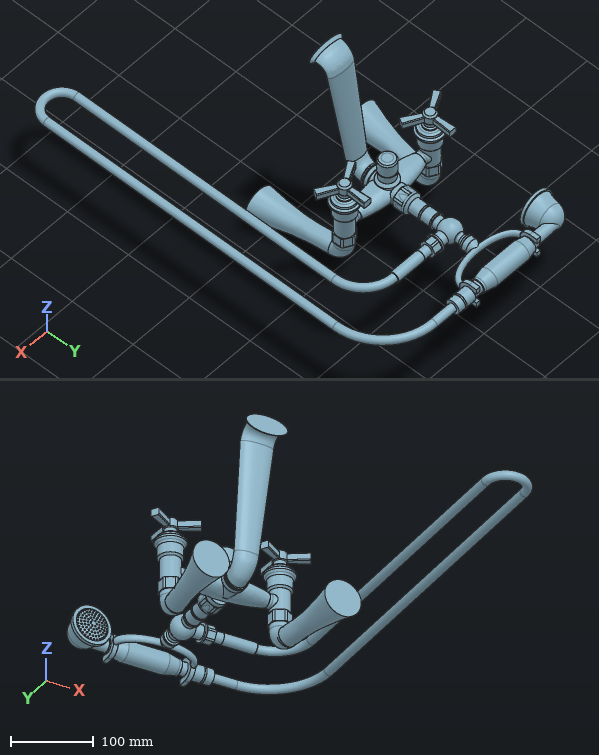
import cadquery as cq
import math

X_AXIS = (1, 0, 0)
Y_AXIS = (0, 1, 0)
Z_AXIS = (0, 0, 1)


valve_offset = 76.2
handset_y = 187.1
outlet_y = 103.2

hose_radius = 6.5
hose_overlap = 2.0
hose_end_x = 203.8
hose_start_x = 150.3
handset_bend_radius = 83.0
outlet_bend_radius = 50.5
hose_lowest_y = -404.4

head_x = -97.5
head_flange_radius = 27.0
head_flange_top = 157.5
head_flange_bottom = 152.7
face_radius = 22.0
face_bulge = 4.0
nozzle_radius = 0.9
nozzle_depth = 2.0
nozzle_pitch = 4.1
nozzle_rings = 5
nozzles_per_ring_step = 6
bell_top_y = 195.5
bell_shoulder = (20.0, 177.8)
bell_dome_mid = (13.5, 189.5)
bell_skirt_mid = (21.8, 167.0)
bell_skirt_radius = 24.8
handle_start_x = -34.9
handle_end_x = 22.0
handle_radius = 14.5
hose_nut_end_x = 86.5

fork_x = 53.8
fork_thickness = 6.5
fork_inner_radius = 8.5
fork_outer_radius = 16.5
fork_tip_y = 199.0
cradle_depth = 25.0
cradle_top_y = 172.0
cradle_wire_half_sizes = (4.3, 5.5)

ball_radius = 16.5
riser_nut_start = 22.5
riser_nut_length = 14.5
riser_nut_flats = 29.5
riser_nut_corner_radius = 16.0
outlet_nut_start = 27.7
outlet_nut_length = 12.7
outlet_nut_flats = 22.5
outlet_nut_corner_radius = 12.2

bar_mid_x = 19.0
bar_end_x = 57.0
bar_mid_half_sizes = (19.0, 13.6)
bar_end_half_sizes = (11.0, 9.5)
bar_flare_start_x = 61.0
bar_flare_radius = 11.5
boss_radius = 14.5
post_radius = 13.0
post_top_z = 54.0
post_neck_radius = 12.0
post_neck_top_z = 31.0
post_crown_z = 50.5
post_crown_mid = (53.0, 11.3)
post_flat_radius = 7.5
post_base_radius = 16.0
post_base_top_z = 15.0

column_radius = 13.4
column_nut_bottom = -31.0
column_nut_length = 16.0
column_nut_flats = 28.0
column_nut_corner_radius = 15.2
lever_bottom_z = 60.0
lever_height = 10.5
lever_length = 37.5
lever_root_half_width = 4.0
lever_tip_half_width = 6.0
lever_chamfer = 1.2
lever_angles = (90, 210, 330)

elbow_top_z = -38.0
leg_z = -53.0
leg_end_y = -126.0
leg_end_offset = 91.8
leg_stations = ((-13.0, 13.4), (-45.0, 13.6), (-75.0, 15.9), (-100.0, 20.0), (leg_end_y, 25.4))

spout_start_y = -26.8
spout_collar_end = 29.0
spout_radius = 14.5
spout_lean = 10.3
spout_lower_bend = 25.0
spout_upper_bend = 20.0
spout_outlet_z = 177.5
spout_outlet_y = -102.0
spout_root_half_sizes = (16.7, 9.8)
spout_tip_half_sizes = (23.2, 7.8)
spout_neck_half_sizes = (24.2, 8.4)
spout_outlet_half_sizes = (29.2, 12.7)
spout_lip = 1.0


def axis_plane(origin, direction):
    """Plane whose local y runs along the direction and local x is radial."""
    axis = cq.Vector(*direction)
    radial = cq.Vector(*Z_AXIS) if direction != Z_AXIS else cq.Vector(*X_AXIS)
    return cq.Plane(origin=origin, xDir=radial.toTuple(), normal=radial.cross(axis).toTuple())


def turned(origin, direction, outline):
    """Solid of revolution from (distance along the axis, radius) points."""
    points = [(radius, along) for along, radius in outline]
    closed = [(0, outline[0][0])] + points + [(0, outline[-1][0])]
    return cq.Workplane(axis_plane(origin, direction)).polyline(closed).close().revolve(360, (0, 0), (0, 1))


def hex_nut(origin, direction, flat_normal, length, flats, corner_radius):
    """Hexagon nut with rounded corners; one flat faces along flat_normal."""
    corner_direction = cq.Vector(*direction).cross(cq.Vector(*flat_normal)).toTuple()
    base = cq.Workplane(cq.Plane(origin=origin, xDir=corner_direction, normal=direction))
    hexagon = base.polygon(6, flats / math.cos(math.radians(30))).extrude(length)
    return hexagon.intersect(base.circle(corner_radius).extrude(length))


def ellipse_wire(origin, normal, half_sizes, x_dir=X_AXIS):
    plane = cq.Plane(origin=origin, xDir=x_dir, normal=normal)
    return cq.Workplane(plane).ellipse(*half_sizes).val()


def loft(wires, ruled=False):
    return cq.Workplane(obj=cq.Solid.makeLoft(wires, ruled))


def hose():
    """Hose from the handset, down a long loop and back to the outlet."""
    loop_radius = (hose_end_x - hose_start_x) / 2
    loop_y = hose_lowest_y + hose_radius + loop_radius
    handset_bend_x = hose_end_x - handset_bend_radius
    outlet_bend_x = hose_start_x - outlet_bend_radius
    path = (
        cq.Workplane("XY")
        .moveTo(hose_nut_end_x - hose_overlap, handset_y)
        .lineTo(handset_bend_x, handset_y)
        .tangentArcPoint((hose_end_x, handset_y - handset_bend_radius), relative=False)
        .lineTo(hose_end_x, loop_y)
        .tangentArcPoint((hose_start_x, loop_y), relative=False)
        .lineTo(hose_start_x, outlet_y - outlet_bend_radius)
        .tangentArcPoint((outlet_bend_x, outlet_y), relative=False)
        .lineTo(outlet_bend_x - hose_overlap, outlet_y)
    )
    start = cq.Workplane("YZ", origin=(hose_nut_end_x - hose_overlap, handset_y, 0))
    return start.circle(hose_radius).sweep(path)


def shower_head():
    """Bell with a flanged rim, a domed face and rings of nozzle holes."""
    plane = axis_plane((head_x, 0, 0), Y_AXIS)
    sphere_radius = (face_radius ** 2 + face_bulge ** 2) / (2 * face_bulge)
    sphere_y = head_flange_bottom - face_bulge + sphere_radius
    face_arc_mid = (face_radius / 2, sphere_y - math.sqrt(sphere_radius ** 2 - (face_radius / 2) ** 2))
    bell = (
        cq.Workplane(plane)
        .moveTo(0, bell_top_y)
        .threePointArc(bell_dome_mid, bell_shoulder)
        .spline([bell_skirt_mid, (bell_skirt_radius, head_flange_top)], includeCurrent=True)
        .lineTo(head_flange_radius, head_flange_top)
        .lineTo(head_flange_radius, head_flange_bottom)
        .lineTo(face_radius, head_flange_bottom)
        .threePointArc(face_arc_mid, (0, head_flange_bottom - face_bulge))
        .close()
        .revolve(360, (0, 0), (0, 1))
    )
    face = cq.Workplane("XZ", origin=(head_x, head_flange_bottom - face_bulge, 0))
    for ring in range(1, nozzle_rings + 1):
        nozzles = face.polarArray(ring * nozzle_pitch, 0, 360, nozzles_per_ring_step * ring)
        bell = bell.cut(nozzles.circle(nozzle_radius).extrude(-face_bulge - nozzle_depth))
    return bell


def handset():
    """Hand shower: neck, grip, hose nut and head."""
    outline = [
        (head_x, 8.0), (-58.8, 8.8), (-58.8, 9.8), (-49.2, 9.8), (-49.2, 11.5),
        (handle_start_x, handle_radius), (handle_end_x, handle_radius),
        (38.0, 11.0), (41.6, 11.0), (41.6, 9.0), (57.0, 9.0), (57.0, 11.0),
        (73.0, 11.0), (73.0, 11.4), (75.5, 11.4), (75.5, 11.0), (hose_nut_end_x, 10.8),
    ]
    return turned((0, handset_y, 0), X_AXIS, outline).union(shower_head())


def fork(x):
    """U-shaped support, open towards +Y, around the hand shower."""
    base = cq.Workplane("YZ", origin=(x - fork_thickness / 2, handset_y, 0))
    tip = fork_tip_y - handset_y
    return (
        base.moveTo(tip, fork_outer_radius)
        .lineTo(0, fork_outer_radius)
        .threePointArc((-fork_outer_radius, 0), (0, -fork_outer_radius))
        .lineTo(tip, -fork_outer_radius)
        .lineTo(tip, -fork_inner_radius)
        .lineTo(0, -fork_inner_radius)
        .threePointArc((-fork_inner_radius, 0), (0, fork_inner_radius))
        .lineTo(tip, fork_inner_radius)
        .close()
        .extrude(fork_thickness)
    )


def cradle():
    """Half-ellipse wire carrying a fork at each end."""
    path = cq.Workplane("XY", origin=(0, cradle_top_y, 0)).ellipseArc(
        fork_x, cradle_depth, 180, 360, startAtCurrent=False
    )
    start = cq.Workplane("XZ", origin=(-fork_x, cradle_top_y, 0))
    wire = start.ellipse(*cradle_wire_half_sizes).sweep(path)
    return wire.union(fork(-fork_x)).union(fork(fork_x))


def riser():
    """Upright from the body to the cradle, with its ball and hexagon nut."""
    outline = [
        (15.0, boss_radius), (riser_nut_start, boss_radius), (37.0, 15.5), (40.5, 15.5), (44.0, 11.0),
        (61.0, 10.8), (61.0, 11.6), (63.5, 11.6), (63.5, 10.6), (79.0, 10.6), (79.0, 11.6),
        (81.5, 11.6), (81.5, 9.3), (outlet_y, 9.3), (119.0, 7.8), (124.0, 7.8),
        (127.5, 9.0), (129.0, 11.4), (131.5, 11.4), (131.5, 10.6), (139.0, 10.6), (148.5, 5.0),
    ]
    ball = cq.Workplane("XY", origin=(0, outlet_y, 0)).sphere(ball_radius)
    nut = hex_nut((0, riser_nut_start, 0), Y_AXIS, X_AXIS,
                  riser_nut_length, riser_nut_flats, riser_nut_corner_radius)
    return turned((0, 0, 0), Y_AXIS, outline).union(ball).union(nut)


def hose_outlet():
    """Side outlet from the ball, with a flange, a hexagon nut and a hose sleeve."""
    outline = [
        (0, 9.5), (25.0, 9.5), (25.0, 13.3), (outlet_nut_start, 13.3), (outlet_nut_start, 10.0),
        (40.4, 10.0), (40.4, 7.6), (53.5, 7.6), (53.5, 8.0), (100.0, 8.0),
    ]
    nut = hex_nut((outlet_nut_start, outlet_y, 0), X_AXIS, Z_AXIS,
                  outlet_nut_length, outlet_nut_flats, outlet_nut_corner_radius)
    return turned((0, outlet_y, 0), X_AXIS, outline).union(nut)


def crossbar():
    """Elliptical bar tapering to both valve columns."""
    sections = [
        (-bar_end_x, bar_end_half_sizes), (-bar_mid_x, bar_mid_half_sizes),
        (bar_mid_x, bar_mid_half_sizes), (bar_end_x, bar_end_half_sizes),
    ]
    bar = loft([ellipse_wire((x, 0, 0), X_AXIS, half_sizes, Y_AXIS) for x, half_sizes in sections])
    end_radius = bar_end_half_sizes[1]
    for side in (-1, 1):
        flare = [(bar_end_x, end_radius), (bar_flare_start_x, end_radius), (valve_offset, bar_flare_radius)]
        bar = bar.union(turned((0, 0, 0), (side, 0, 0), flare))
    return bar


def diverter_post():
    """Upright post with a coned base, a narrower neck and a crowned flat top."""
    base_cone_height = post_base_radius - post_neck_radius
    outline = [
        (0, post_base_radius), (post_base_top_z, post_base_radius),
        (post_base_top_z + base_cone_height, post_neck_radius), (post_neck_top_z, post_neck_radius),
        (post_neck_top_z, post_radius), (post_crown_z, post_radius), post_crown_mid,
        (post_top_z, post_flat_radius),
    ]
    return turned((0, 0, 0), Z_AXIS, outline)


def lever(x, angle):
    """One tapered handle arm at the given angle about the column."""
    outline = [
        (0, -lever_root_half_width), (lever_length, -lever_tip_half_width),
        (lever_length, lever_tip_half_width), (0, lever_root_half_width),
    ]
    bar = cq.Workplane("XY").polyline(outline).close().extrude(lever_height)
    bar = bar.faces(">Z or <Z").edges("not #X").chamfer(lever_chamfer)
    return bar.rotate((0, 0, 0), Z_AXIS, angle).translate((x, 0, lever_bottom_z))


def valve(x):
    """Valve column with its nut and three-armed handle."""
    outline = [
        (elbow_top_z, column_radius), (16.0, column_radius), (18.5, 16.3), (33.0, 16.3),
        (36.0, 18.0), (39.0, 20.4), (42.0, 20.4), (44.0, 17.5), (47.0, 17.0), (49.0, 13.5),
        (50.0, 10.5), (52.0, 10.5), (53.0, 8.0), (59.0, 8.0), (lever_bottom_z, 9.5),
        (71.5, 9.5), (74.0, 7.0),
    ]
    column = turned((x, 0, 0), Z_AXIS, outline)
    nut = hex_nut((x, 0, column_nut_bottom), Z_AXIS, X_AXIS,
                  column_nut_length, column_nut_flats, column_nut_corner_radius)
    column = column.union(nut)
    for angle in lever_angles:
        column = column.union(lever(x, angle))
    return column


def leg(side):
    """Elbow below a valve and the flared leg, splayed outwards."""
    bend = elbow_top_z - leg_z
    splay = math.atan2(leg_end_offset - valve_offset, -leg_end_y)
    x = side * valve_offset
    path = (
        cq.Workplane("YZ")
        .moveTo(0, elbow_top_z)
        .radiusArc((-bend, leg_z), bend)
    )
    elbow = cq.Workplane("XY", origin=(0, 0, elbow_top_z)).circle(column_radius).sweep(path)
    elbow = elbow.rotate((0, 0, 0), Z_AXIS, side * math.degrees(splay)).translate((x, 0, 0))
    wires = []
    for y, radius in leg_stations:
        centre = (x - side * y * math.tan(splay), y, leg_z)
        wires.append(cq.Wire.makeCircle(radius, cq.Vector(*centre), cq.Vector(*Y_AXIS)))
    return elbow.union(loft(wires))


def spout():
    """Rising spout of elliptical section, widening to a flared outlet that faces -Y."""
    turn = math.radians(90 - spout_lean)

    def heading(angle):
        return (0, -math.cos(angle), math.sin(angle))

    def lower_bend(angle):
        return (0, spout_start_y - spout_lower_bend * math.sin(angle),
                spout_lower_bend * (1 - math.cos(angle)))

    root = lower_bend(turn)
    tip_z = spout_outlet_z - spout_upper_bend * (1 - math.cos(turn))
    tip_y = root[1] - (tip_z - root[2]) * math.tan(math.radians(spout_lean))
    neck_y = tip_y - spout_upper_bend * math.sin(turn)

    def upper_bend(angle):
        return (0, neck_y + spout_upper_bend * math.sin(angle),
                spout_outlet_z - spout_upper_bend * (1 - math.cos(angle)))

    round_section = (spout_radius, spout_radius)
    elbow_half_sizes = tuple((a + b) / 2 for a, b in zip(round_section, spout_root_half_sizes))
    elbow = loft([
        ellipse_wire((0, spout_start_y, 0), heading(0), round_section),
        ellipse_wire(lower_bend(turn / 2), heading(turn / 2), elbow_half_sizes),
        ellipse_wire(root, heading(turn), spout_root_half_sizes),
    ])
    straight = loft([
        ellipse_wire(root, heading(turn), spout_root_half_sizes),
        ellipse_wire(upper_bend(turn), heading(turn), spout_tip_half_sizes),
    ], True)
    upper = loft([
        ellipse_wire(upper_bend(turn), heading(turn), spout_tip_half_sizes),
        ellipse_wire(upper_bend(turn / 2), heading(turn / 2), spout_tip_half_sizes),
        ellipse_wire(upper_bend(0), heading(0), spout_neck_half_sizes),
    ])
    lip_y = spout_outlet_y + spout_lip
    flare = loft([
        ellipse_wire((0, neck_y, spout_outlet_z), heading(0), spout_neck_half_sizes),
        ellipse_wire((0, lip_y, spout_outlet_z), heading(0), spout_outlet_half_sizes),
        ellipse_wire((0, spout_outlet_y, spout_outlet_z), heading(0), spout_outlet_half_sizes),
    ], True)
    collar = turned((0, 0, 0), (0, -1, 0), [
        (0, boss_radius), (19.0, boss_radius), (19.0, 16.3), (25.0, 16.3), (25.0, 15.3),
        (26.5, 15.3), (26.5, 16.0), (spout_collar_end, 16.0), (spout_collar_end, spout_radius),
    ])
    return collar.union(elbow).union(straight).union(upper).union(flare)


result = crossbar().union(diverter_post()).union(riser()).union(hose_outlet()).union(spout())
for side in (-1, 1):
    result = result.union(valve(side * valve_offset)).union(leg(side))
result = result.union(cradle()).union(handset()).union(hose())